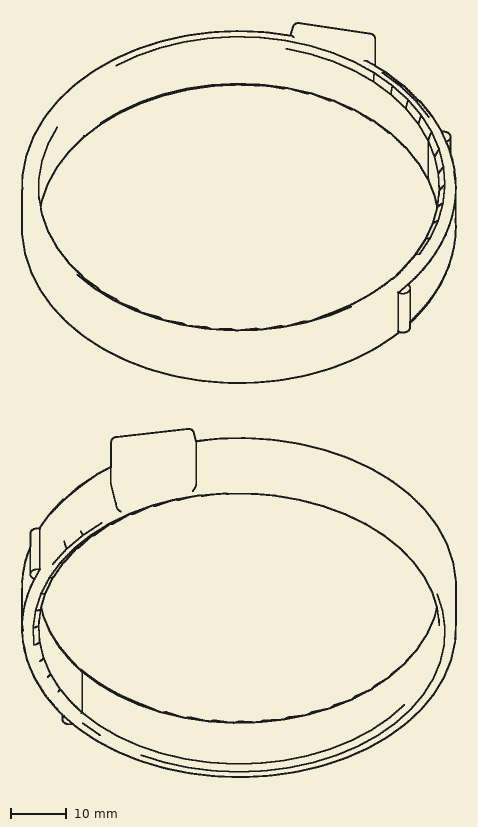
import cadquery as cq
import math

BORE_RADIUS = 36.0
WALL = 3.0
OUTER_RADIUS = BORE_RADIUS + WALL
HEIGHT = 12.0
EDGE_ROUND = 1.0

BLOCK_TURN = 24.0
BLOCK_START = 1.3
BLOCK_LENGTH = 15.15
BLOCK_REACH = 42.4
BLOCK_ROOT = 34.3

INSERT_START = -5.0
INSERT_SPAN = 60.0
INSERT_HEIGHT = HEIGHT - 2 * EDGE_ROUND
PIN_DIAMETER = 2.7
PIN_CENTRE_RADIUS = 38.9
PIN_ANGLES = (INSERT_START, INSERT_START + INSERT_SPAN)


def polar(radius, degrees):
    angle = math.radians(degrees)
    return (radius * math.cos(angle), radius * math.sin(angle))


def make_block():
    """Block with rounded upright outer corners, before it joins the ring."""
    return (
        cq.Workplane("XY")
        .moveTo(BLOCK_START, BLOCK_ROOT)
        .rect(BLOCK_LENGTH, BLOCK_REACH - BLOCK_ROOT, centered=False)
        .extrude(HEIGHT)
        .edges("|Z and >Y")
        .fillet(EDGE_ROUND)
        .rotate((0, 0, 0), (0, 0, 1), BLOCK_TURN)
    )


def make_insert():
    """Arc of the ring wall between the end pins, one solid."""
    end = INSERT_START + INSERT_SPAN
    middle = INSERT_START + INSERT_SPAN / 2
    insert = (
        cq.Workplane("XY")
        .workplane(offset=EDGE_ROUND)
        .moveTo(*polar(BORE_RADIUS, INSERT_START))
        .lineTo(*polar(OUTER_RADIUS, INSERT_START))
        .threePointArc(polar(OUTER_RADIUS, middle), polar(OUTER_RADIUS, end))
        .lineTo(*polar(BORE_RADIUS, end))
        .threePointArc(polar(BORE_RADIUS, middle), polar(BORE_RADIUS, INSERT_START))
        .close()
        .extrude(INSERT_HEIGHT)
    )
    for angle in PIN_ANGLES:
        pin = (
            cq.Workplane("XY")
            .workplane(offset=EDGE_ROUND)
            .center(*polar(PIN_CENTRE_RADIUS, angle))
            .circle(PIN_DIAMETER / 2)
            .extrude(INSERT_HEIGHT)
        )
        insert = insert.union(pin)
    return insert


def make_ring(insert):
    """Ring and block with rounded rims and a window that fits the insert."""
    ring = cq.Workplane("XY").circle(OUTER_RADIUS).extrude(HEIGHT).union(make_block())
    bore = cq.Workplane("XY").circle(BORE_RADIUS).extrude(HEIGHT)
    ring = ring.cut(bore)
    ring = ring.faces("<Z or >Z").edges().fillet(EDGE_ROUND)
    return ring.cut(insert)


insert = make_insert()
ring = make_ring(insert)

result = cq.Compound.makeCompound([ring.solids().val(), insert.solids().val()])